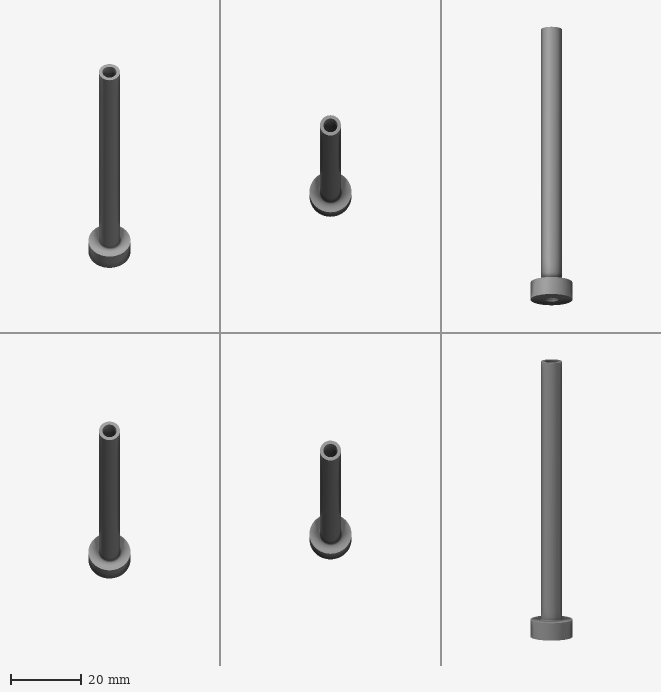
import cadquery as cq

total_length = 80.0
head_diameter = 12.0
head_height = 5.0
tube_diameter = head_diameter / 2
bore_diameter = head_diameter / 3
neck_fillet = 0.5

head = cq.Workplane("XY").circle(head_diameter / 2).extrude(head_height)

tube = cq.Workplane("XY").circle(tube_diameter / 2).extrude(total_length)

neck_edge = cq.selectors.RadiusNthSelector(0)
body = head.union(tube)
body = body.faces("<Z[-2]").edges(neck_edge).fillet(neck_fillet)

bore = cq.Workplane("XY").circle(bore_diameter / 2).extrude(total_length)

result = body.cut(bore)